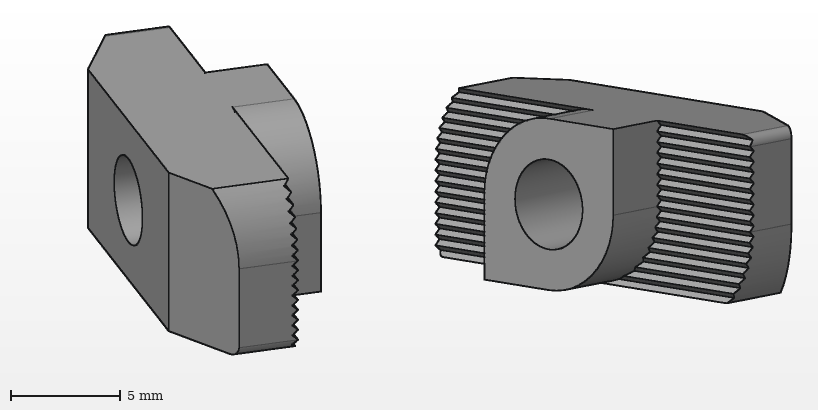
import cadquery as cq
import math

length = 19.5
height = 8.0
body_depth = 5.01
stem_depth = 2.98

front_flat = 12.0
slope_angle = 30.0

small_radius = 0.5
large_radius = 5.0
large_arc_height = 3.51

tooth_count = 16
tooth_depth = 0.27

hole_diameter = 4.2

half_length = length / 2
half_height = height / 2
total_depth = body_depth + stem_depth
tooth_pitch = height / tooth_count


def extrude_in_y(sketch, y_start, y_end):
    """Extrude a wire drawn on the XZ plane between two Y positions."""
    return sketch.extrude(y_start - y_end).translate((0, y_start, 0))


def make_sloped_block():
    """Block over the full height with two sloped front corners."""
    slope_run = half_length - front_flat / 2
    slope_rise = slope_run * math.tan(math.radians(slope_angle))
    return (
        cq.Workplane("XY")
        .moveTo(-front_flat / 2, 0)
        .lineTo(front_flat / 2, 0)
        .lineTo(half_length, slope_rise)
        .lineTo(half_length, body_depth)
        .lineTo(-half_length, body_depth)
        .lineTo(-half_length, slope_rise)
        .close()
        .extrude(half_height, both=True)
    )


def make_rounded_block():
    """Prism along Y with large arcs and small rounds on opposite corners."""
    arc_start = large_arc_height - half_height
    arc_inset = large_radius - math.sqrt(large_radius**2 - large_arc_height**2)
    sketch = (
        cq.Workplane("XZ")
        .moveTo(-half_length, half_height - small_radius)
        .radiusArc((-half_length + small_radius, half_height), small_radius)
        .lineTo(half_length - arc_inset, half_height)
        .radiusArc((half_length, -arc_start), large_radius)
        .lineTo(half_length, -half_height + small_radius)
        .radiusArc((half_length - small_radius, -half_height), small_radius)
        .lineTo(-half_length + arc_inset, -half_height)
        .radiusArc((-half_length, arc_start), large_radius)
        .close()
    )
    return extrude_in_y(sketch, 0, body_depth)


def make_serrations():
    """V-grooves running along X across the rear face, crests at both edges."""
    profile = cq.Workplane("YZ").moveTo(body_depth, -half_height)
    for tooth in range(tooth_count):
        crest = -half_height + tooth * tooth_pitch
        profile = profile.lineTo(body_depth - tooth_depth, crest + tooth_pitch / 2)
        profile = profile.lineTo(body_depth, crest + tooth_pitch)
    clearance = body_depth + tooth_depth
    profile = profile.lineTo(clearance, half_height).lineTo(clearance, -half_height)
    return profile.close().extrude(half_length, both=True)


def make_stem():
    """Square stem with two opposite corners rounded to half its width."""
    sketch = (
        cq.Workplane("XZ")
        .moveTo(-half_height, half_height)
        .lineTo(0, half_height)
        .radiusArc((half_height, 0), half_height)
        .lineTo(half_height, -half_height)
        .lineTo(0, -half_height)
        .radiusArc((-half_height, 0), half_height)
        .close()
    )
    return extrude_in_y(sketch, body_depth - tooth_depth, total_depth)


body = make_sloped_block().intersect(make_rounded_block()).cut(make_serrations())
hole = extrude_in_y(cq.Workplane("XZ").circle(hole_diameter / 2), 0, total_depth)
result = body.union(make_stem()).cut(hole)